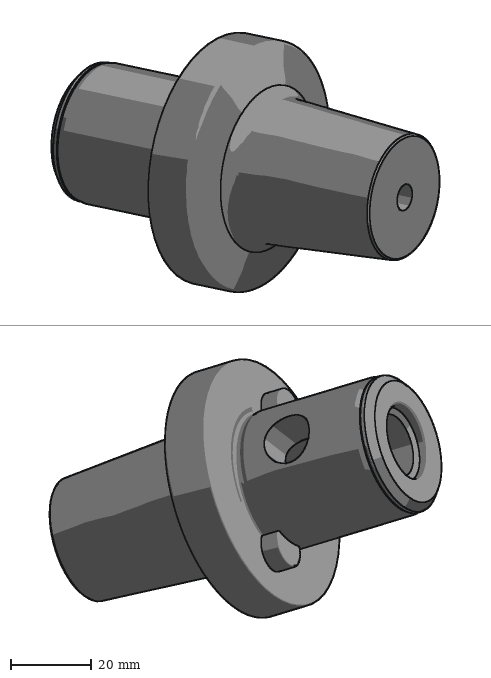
import cadquery as cq
import math


SHANK_LENGTH = 40.0
SHANK_RADIUS = 36.0 / 2
NOSE_RADIUS = 15.7
NOSE_CHAMFER_END = 1.9
BAND_EDGE_RADIUS = 17.7
BAND_RADIUS = 17.8
BAND_START = 2.3
BAND_END = 3.0
RELIEF_START = 3.3
RELIEF_RADIUS = 17.7
LEAD_IN_END = 4.7

UNDERCUT_START = 37.3
UNDERCUT_FLOOR_START = 38.5
UNDERCUT_FLOOR_END = 39.4
UNDERCUT_FLOOR_RADIUS = 17.7
UNDERCUT_FACE_RADIUS = 19.6
UNDERCUT_FACE_DEPTH = 0.14
UNDERCUT_CORNER_RADIUS = SHANK_LENGTH + UNDERCUT_FACE_DEPTH - UNDERCUT_FLOOR_END

FLANGE_RADIUS = 64.0 / 2
FLANGE_RIM_END = 51.9
FLANGE_FRONT_FILLET = 0.5
FLANGE_BACK_FILLET = 1.0
BACK_ANGLE = math.radians(15)

JOINT_X = 54.8
JOINT_RADIUS = FLANGE_RADIUS - (JOINT_X - FLANGE_RIM_END) / math.tan(BACK_ANGLE)

MOUTH_FILLET = 1.0
COUNTERBORE_RADIUS = 9.5
COUNTERBORE_DEPTH = 2.6
BORE_RADIUS = 8.0
BORE_CONE_ANGLE = math.radians(60)

SIDE_HOLE_X = 24.6
SIDE_HOLE_RADIUS = 6.6

OVERALL_LENGTH = 96.0
NECK_FILLET = 3.6
TAPER_ANGLE = math.radians(3.8)
TIP_CHAMFER = 0.5
THROUGH_HOLE_RADIUS = 3.4
BORE_TIP_ANGLE = math.radians(59)

PIN_RADIUS = 5.4
PIN_CENTRE_RADIUS = 19.6
PIN_LENGTH = 5.0
PIN_FILLET = 0.4
PIN_HOLLOW_RADIUS = 18.1


def arc_point(centre, radius, angle):
    """Point on a circle, with the angle measured from the X axis."""
    return (centre[0] + radius * math.cos(angle), centre[1] + radius * math.sin(angle))


def revolve_about_x(outline):
    """Turn an (x, radius) outline around the X axis."""
    return outline.close().revolve(360, (0, 0, 0), (1, 0, 0))


def coupling_blank():
    corner_centre = (UNDERCUT_FLOOR_END, UNDERCUT_FLOOR_RADIUS + UNDERCUT_CORNER_RADIUS)
    blank = revolve_about_x(
        cq.Workplane("XY")
        .lineTo(0, NOSE_RADIUS)
        .lineTo(NOSE_CHAMFER_END, BAND_EDGE_RADIUS)
        .lineTo(BAND_START, BAND_RADIUS)
        .lineTo(BAND_END, BAND_RADIUS)
        .lineTo(RELIEF_START, RELIEF_RADIUS)
        .lineTo(LEAD_IN_END, SHANK_RADIUS)
        .lineTo(UNDERCUT_START, SHANK_RADIUS)
        .lineTo(UNDERCUT_FLOOR_START, UNDERCUT_FLOOR_RADIUS)
        .lineTo(UNDERCUT_FLOOR_END, UNDERCUT_FLOOR_RADIUS)
        .threePointArc(
            arc_point(corner_centre, UNDERCUT_CORNER_RADIUS, -math.pi / 4),
            arc_point(corner_centre, UNDERCUT_CORNER_RADIUS, 0),
        )
        .lineTo(SHANK_LENGTH, UNDERCUT_FACE_RADIUS)
        .lineTo(SHANK_LENGTH, FLANGE_RADIUS)
        .lineTo(FLANGE_RIM_END, FLANGE_RADIUS)
        .lineTo(JOINT_X, JOINT_RADIUS)
        .lineTo(JOINT_X, 0)
    )
    widest_circles = cq.selectors.RadiusNthSelector(-1)
    blank = blank.edges(widest_circles).edges("<X").fillet(FLANGE_FRONT_FILLET)
    return blank.edges(widest_circles).edges(">X").fillet(FLANGE_BACK_FILLET)


def coupling_bore():
    """Counterbored bore with a rounded mouth, as a solid to cut away."""
    mouth_radius = COUNTERBORE_RADIUS + MOUTH_FILLET
    fillet_centre = (MOUTH_FILLET, mouth_radius)
    cone_length = (COUNTERBORE_RADIUS - BORE_RADIUS) / math.tan(BORE_CONE_ANGLE)
    return revolve_about_x(
        cq.Workplane("XY")
        .lineTo(0, mouth_radius)
        .threePointArc(
            arc_point(fillet_centre, MOUTH_FILLET, -3 * math.pi / 4),
            arc_point(fillet_centre, MOUTH_FILLET, -math.pi / 2),
        )
        .lineTo(COUNTERBORE_DEPTH, COUNTERBORE_RADIUS)
        .lineTo(COUNTERBORE_DEPTH + cone_length, BORE_RADIUS)
        .lineTo(JOINT_X, BORE_RADIUS)
        .lineTo(JOINT_X, 0)
    )


def side_hole():
    """Round hole from the axis out through the +Y side, as a solid to cut away."""
    return cq.Workplane("XZ").center(SIDE_HOLE_X, 0).circle(SIDE_HOLE_RADIUS).extrude(-SHANK_RADIUS)


def make_coupling():
    return coupling_blank().cut(coupling_bore()).cut(side_hole())


def make_holder():
    neck_centre = arc_point((JOINT_X, JOINT_RADIUS), NECK_FILLET, BACK_ANGLE)
    neck_start_angle = math.pi + BACK_ANGLE
    neck_end_angle = 3 * math.pi / 2 - TAPER_ANGLE
    neck_middle = arc_point(neck_centre, NECK_FILLET, (neck_start_angle + neck_end_angle) / 2)
    neck_end = arc_point(neck_centre, NECK_FILLET, neck_end_angle)

    taper_end = OVERALL_LENGTH - TIP_CHAMFER
    tip_radius = neck_end[1] - (taper_end - neck_end[0]) * math.tan(TAPER_ANGLE)
    bore_tip_length = (BORE_RADIUS - THROUGH_HOLE_RADIUS) / math.tan(BORE_TIP_ANGLE)
    return revolve_about_x(
        cq.Workplane("XY")
        .moveTo(JOINT_X, BORE_RADIUS)
        .lineTo(JOINT_X, JOINT_RADIUS)
        .threePointArc(neck_middle, neck_end)
        .lineTo(taper_end, tip_radius)
        .lineTo(OVERALL_LENGTH, tip_radius - TIP_CHAMFER)
        .lineTo(OVERALL_LENGTH, THROUGH_HOLE_RADIUS)
        .lineTo(JOINT_X + bore_tip_length, THROUGH_HOLE_RADIUS)
    )


def make_pin(side):
    """Drive pin above (side 1) or below (side -1) the shank, hollowed to clear it."""
    pin = (
        cq.Workplane("YZ", origin=(SHANK_LENGTH - PIN_LENGTH, 0, 0))
        .center(0, side * PIN_CENTRE_RADIUS)
        .circle(PIN_RADIUS)
        .extrude(PIN_LENGTH)
        .faces("<X")
        .edges()
        .fillet(PIN_FILLET)
    )
    shank_space = cq.Workplane("YZ").circle(PIN_HOLLOW_RADIUS).extrude(SHANK_LENGTH)
    return pin.cut(shank_space)


coupling = make_coupling()
holder = make_holder()
pins = [make_pin(side) for side in (1, -1)]

result = cq.Compound.makeCompound([coupling.val(), holder.val(), *[pin.val() for pin in pins]])